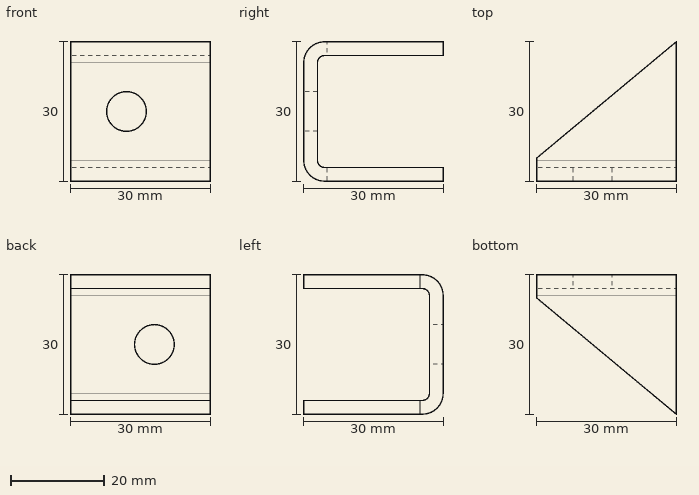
import cadquery as cq

size = 30.0
thickness = 3.0
inner_bend_radius = 1.5
outer_bend_radius = inner_bend_radius + thickness
short_edge_depth = 5.0
hole_diameter = 8.5
hole_x = 12.0


def make_channel():
    """U-shaped channel along X: web at Y = 0, flanges reaching toward +Y."""
    outer = cq.Workplane("XY").box(size, size, size, centered=False)
    outer = outer.edges("|X and <Y").fillet(outer_bend_radius)
    cavity = (
        cq.Workplane("XY")
        .box(size, size - thickness, size - 2 * thickness, centered=False)
        .translate((0, thickness, thickness))
        .edges("|X and <Y")
        .fillet(inner_bend_radius)
    )
    return outer.cut(cavity)


def make_flange_outline():
    """Prism over the plan outline that tapers both flanges to a point."""
    return (
        cq.Workplane("XY")
        .polyline([(0, 0), (size, 0), (size, size), (0, short_edge_depth)])
        .close()
        .extrude(size)
    )


def make_web_hole():
    """Cylinder through the web, centred in height."""
    return (
        cq.Workplane("XZ")
        .center(hole_x, size / 2)
        .circle(hole_diameter / 2)
        .extrude(-thickness)
    )


result = make_channel().intersect(make_flange_outline()).cut(make_web_hole())